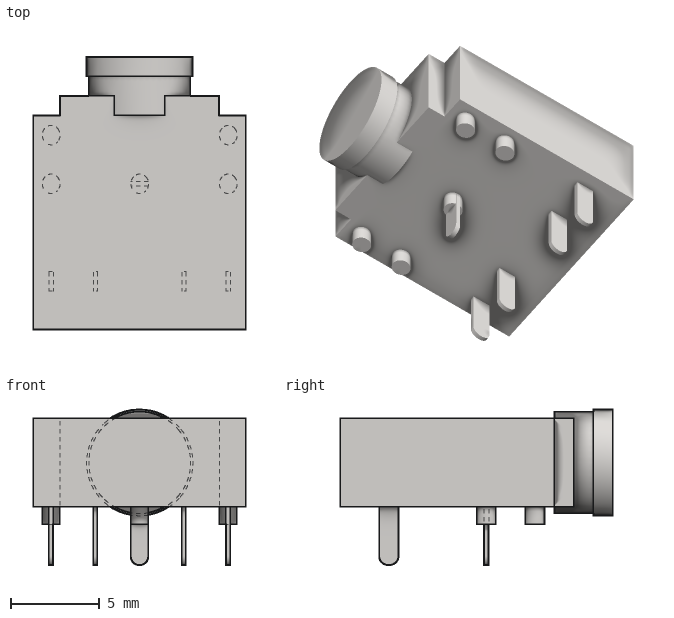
import cadquery as cq

housing_width = 12.0
housing_length = 12.1
housing_height = 5.0

step_length = 1.1
shoulder_width = 9.0
neck_diameter = 5.75
flange_diameter = 6.0
socket_height = housing_height / 2

post_size_x = 1.0
post_size_y = 1.1
post_drop = 1.0
side_x = 5.0
rear_post_y = 8.25
front_post_y = 11.0

pin_drop = 3.3
pin_tip_height = 0.5
inner_pin_x = side_x / 2
rear_pin_y = 2.75
side_pin_width = 1.1
side_pin_thickness = 0.25
center_pin_width = 1.0
center_pin_thickness = 0.275


def make_housing():
    """Rectangular housing with a narrower shoulder on its mating face."""
    main = cq.Workplane("XY").box(
        housing_width, housing_length, housing_height, centered=(True, False, False)
    )
    shoulder = (
        cq.Workplane("XY")
        .box(shoulder_width, step_length, housing_height, centered=(True, False, False))
        .translate((0, housing_length, 0))
    )
    return main.union(shoulder)


def make_socket_disc(diameter, start_y, length):
    """Cylinder on the socket axis, running toward +Y from start_y."""
    return (
        cq.Workplane("XZ", origin=(0, start_y, socket_height))
        .circle(diameter / 2)
        .extrude(-length)
    )


def make_post(x, y):
    """Locating post hanging below the housing."""
    return (
        cq.Workplane("XY", origin=(x, y, 0))
        .ellipse(post_size_x / 2, post_size_y / 2)
        .extrude(-post_drop)
    )


def make_pin(plane, x, y, width, thickness):
    """Flat pin with a rounded tip; its broad face lies parallel to the given plane."""
    half_width = width / 2
    shank_drop = pin_drop - pin_tip_height
    shank = (
        cq.Workplane(plane, origin=(x, y, -shank_drop / 2))
        .rect(width, shank_drop)
        .extrude(thickness / 2, both=True)
    )
    tip = (
        cq.Workplane(plane, origin=(x, y, -shank_drop))
        .ellipse(half_width, pin_tip_height)
        .extrude(thickness / 2, both=True)
    )
    return shank.union(tip)


result = make_housing()

neck_length = 2 * step_length
flange_y = housing_length + neck_length
result = result.union(make_socket_disc(neck_diameter, housing_length, neck_length))
result = result.union(make_socket_disc(flange_diameter, flange_y, step_length))

post_positions = [(0, rear_post_y)]
for post_x in (-side_x, side_x):
    post_positions.append((post_x, rear_post_y))
    post_positions.append((post_x, front_post_y))
for post_x, post_y in post_positions:
    result = result.union(make_post(post_x, post_y))

for pin_x in (-side_x, -inner_pin_x, inner_pin_x, side_x):
    result = result.union(make_pin("YZ", pin_x, rear_pin_y, side_pin_width, side_pin_thickness))

result = result.union(make_pin("XZ", 0, rear_post_y, center_pin_width, center_pin_thickness))